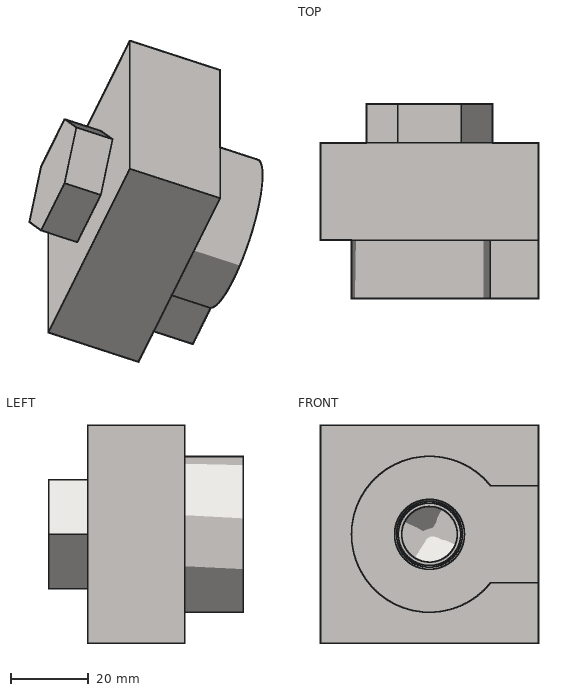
import cadquery as cq
import math

block_side = 56.0
block_depth = 25.0

boss_diameter = 40.05
boss_height = 15.0
arm_width = 25.0

hex_across_flats = 28.0
hex_height = 10.0
hex_across_corners = hex_across_flats / math.cos(math.pi / 6)

mouth_diameter = 18.0
bore_diameter = 16.9
bore_depth = 10.8
inner_bore_diameter = 16.0
inner_bore_depth = 20.0
cone_diameter = 14.3
cone_angle = 118.0
mouth_chamfer = (mouth_diameter - bore_diameter) / 2

front_y = -(block_depth / 2 + boss_height)


def extrude_along_y(sketch_y, height, draw):
    """Extrude a profile drawn in (X, Z) from sketch_y towards +Y."""
    plane = cq.Plane(origin=(0, sketch_y, 0), xDir=(1, 0, 0), normal=(0, -1, 0))
    return draw(cq.Workplane(plane)).extrude(-height)


def make_body():
    block = cq.Workplane("XY").box(block_side, block_depth, block_side)
    boss = extrude_along_y(front_y, boss_height, lambda w: w.circle(boss_diameter / 2))
    arm = extrude_along_y(
        front_y,
        boss_height,
        lambda w: w.center(block_side / 4, 0).rect(block_side / 2, arm_width),
    )
    head = extrude_along_y(block_depth / 2, hex_height, lambda w: w.polygon(6, hex_across_corners))
    return block.union(boss).union(arm).union(head)


def make_hole():
    """Revolve the half profile of the hole about the Y axis."""
    cone_depth = cone_diameter / 2 / math.tan(math.radians(cone_angle / 2))
    step_y = front_y + bore_depth
    floor_y = front_y + inner_bore_depth
    return (
        cq.Workplane("XY")
        .moveTo(0, front_y)
        .lineTo(mouth_diameter / 2, front_y)
        .lineTo(bore_diameter / 2, front_y + mouth_chamfer)
        .lineTo(bore_diameter / 2, step_y)
        .lineTo(inner_bore_diameter / 2, step_y)
        .lineTo(inner_bore_diameter / 2, floor_y)
        .lineTo(cone_diameter / 2, floor_y)
        .lineTo(0, floor_y + cone_depth)
        .close()
        .revolve(360, (0, 0), (0, 1))
    )


result = make_body().cut(make_hole())